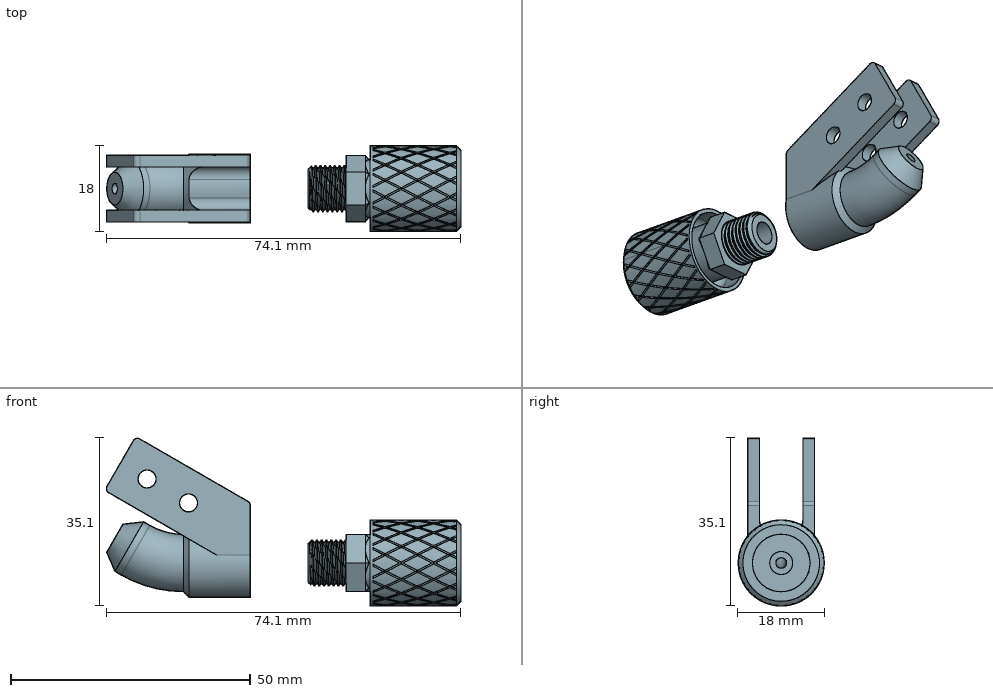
import cadquery as cq
import math


BARREL_R = 7.2
SPOUT_R = 6.0
TIP_R = 3.4
NOZZLE_BORE_R = 1.1
NOZZLE_LENGTH = 14.0
BEND_R = 20.0
BEND_ANGLE = 30.0
TIP_COLLAR = 1.5
TIP_CONE = 3.5

PLATE_GAP = 9.0
PLATE_THICKNESS = 2.5
PLATE_OUTER_Y = PLATE_GAP / 2 + PLATE_THICKNESS
PLATE_TILT = 30.0
PLATE_WIDTH = 13.0
PLATE_CORNER_R = 1.0
PLATE_END_X = -30.1
PLATE_TOP_Z = 26.06
PLATE_HOLE_R = 1.85
PLATE_HOLE_PITCH = 10.0
PLATE_HOLE_INSET = 6.5
ROOT_FILLET_R = 2.0

FITTING_X = 12.0
THREAD_LENGTH = 8.0
THREAD_PITCH = 1.0
THREAD_CREST_R = 4.85
THREAD_ROOT_R = 4.37
THREAD_LEAD_R = 4.0
THREAD_BASE_WIDTH = 0.7
THREAD_CREST_WIDTH = 0.12
THREAD_START = 0.62
FLANK_STEPS = 3
HEX_FLATS = 12.0
HEX_LENGTH = 5.0
HEX_CHAMFER = 1.0
SHANK_R = 6.0
FITTING_BORE_R = 2.4

SLEEVE_R = 9.0
SLEEVE_LENGTH = 19.0
SLEEVE_BORE_R = 12.03 / 2
SLEEVE_MOUTH_R = 8.15
SLEEVE_MOUTH_DEPTH = 6.0
SLEEVE_CHAMFER = 1.0
SLEEVE_X = FITTING_X + THREAD_LENGTH + HEX_LENGTH
KNURL_COUNT = 16
KNURL_LEAD = 108.5
KNURL_GROOVE_R = 0.2
KNURL_START = 0.6
KNURL_LENGTH = SLEEVE_LENGTH - SLEEVE_CHAMFER - KNURL_START
KNURL_CROSSING = 6.5

FITTING_LENGTH = THREAD_LENGTH + HEX_LENGTH + SLEEVE_LENGTH


def revolved(points):
    """Solid of revolution about the X axis from (x, radius) points."""
    return cq.Workplane("XY").polyline(points).close().revolve(360, (0, 0, 0), (1, 0, 0))


def cylinder(radius, x, length):
    return cq.Workplane("YZ", origin=(x, 0, 0)).circle(radius).extrude(length)



def bend_direction():
    angle = math.radians(BEND_ANGLE)
    return cq.Vector(-math.cos(angle), 0, math.sin(angle))


def bend_end():
    angle = math.radians(BEND_ANGLE)
    return cq.Vector(-NOZZLE_LENGTH - BEND_R * math.sin(angle), 0, BEND_R * (1 - math.cos(angle)))


def spout_bend(radius):
    return (
        cq.Workplane("YZ", origin=(-NOZZLE_LENGTH, 0, 0))
        .circle(radius)
        .revolve(BEND_ANGLE, (-1, BEND_R, 0), (1, BEND_R, 0))
    )


def spout_tip():
    collar = cq.Solid.makeCylinder(SPOUT_R, TIP_COLLAR, bend_end(), bend_direction())
    cone_base = bend_end() + bend_direction() * TIP_COLLAR
    cone = cq.Solid.makeCone(SPOUT_R, TIP_R, TIP_CONE, cone_base, bend_direction())
    return cq.Workplane(collar).union(cq.Workplane(cone))


def barrel():
    """Barrel with concave fillets rising to the plates' inner faces, its front end cut to a cone."""
    face_y = PLATE_GAP / 2
    flank_z = math.sqrt(BARREL_R**2 - face_y**2)
    centre_y = face_y - ROOT_FILLET_R
    centre_z = math.sqrt((BARREL_R + ROOT_FILLET_R) ** 2 - centre_y**2)
    touch_angle = math.atan2(centre_z, centre_y)
    touch_y = BARREL_R * math.cos(touch_angle)
    touch_z = BARREL_R * math.sin(touch_angle)
    middle_angle = (touch_angle - math.pi) / 2
    middle_y = centre_y + ROOT_FILLET_R * math.cos(middle_angle)
    middle_z = centre_z + ROOT_FILLET_R * math.sin(middle_angle)
    section = (
        cq.Workplane("YZ", origin=(-NOZZLE_LENGTH, 0, 0))
        .moveTo(face_y, flank_z)
        .lineTo(face_y, centre_z)
        .threePointArc((middle_y, middle_z), (touch_y, touch_z))
        .threePointArc((0, BARREL_R), (-touch_y, touch_z))
        .threePointArc((-middle_y, middle_z), (-face_y, centre_z))
        .lineTo(-face_y, flank_z)
        .threePointArc((0, -BARREL_R), (face_y, flank_z))
        .close()
    )
    cone_r = SPOUT_R + NOZZLE_LENGTH
    cone = revolved([(0, 0), (0, cone_r), (-NOZZLE_LENGTH, SPOUT_R), (-NOZZLE_LENGTH, 0)])
    return section.extrude(NOZZLE_LENGTH).intersect(cone)


def plate_frame():
    """Sharp upper front corner of the plates, with unit vectors along and up across them."""
    tilt = math.radians(PLATE_TILT)
    core = PLATE_WIDTH - 2 * PLATE_CORNER_R
    along = cq.Vector(math.cos(tilt), 0, -math.sin(tilt))
    up = cq.Vector(math.sin(tilt), 0, math.cos(tilt))
    lower_x = PLATE_END_X + PLATE_CORNER_R
    upper_centre = cq.Vector(lower_x + core * math.sin(tilt), 0, PLATE_TOP_Z - PLATE_CORNER_R)
    corner = upper_centre + (up - along) * PLATE_CORNER_R
    return corner, along, up


def plates():
    corner, along, up = plate_frame()
    low = corner - up * PLATE_WIDTH
    top_rear_z = corner.z + corner.x * math.tan(math.radians(PLATE_TILT))
    foot_z = math.sqrt(BARREL_R**2 - PLATE_OUTER_Y**2)
    foot_x = low.x + (low.z - foot_z) / math.tan(math.radians(PLATE_TILT))
    outline = [(low.x, low.z), (corner.x, corner.z), (0, top_rear_z), (0, foot_z), (foot_x, foot_z)]
    first_hole = corner + along * PLATE_HOLE_INSET - up * PLATE_HOLE_INSET
    second_hole = first_hole + along * PLATE_HOLE_PITCH
    both = (
        cq.Workplane("XZ", origin=(0, PLATE_OUTER_Y, 0))
        .polyline(outline)
        .close()
        .extrude(2 * PLATE_OUTER_Y)
    )
    sharp = [(low.x, low.z), (corner.x, corner.z), (0, top_rear_z)]
    for x, z in sharp:
        both = both.edges(cq.selectors.NearestToPointSelector((x, 0, z))).fillet(PLATE_CORNER_R)
    holes = (
        cq.Workplane("XZ", origin=(0, PLATE_OUTER_Y, 0))
        .pushPoints([(first_hole.x, first_hole.z), (second_hole.x, second_hole.z)])
        .circle(PLATE_HOLE_R)
        .extrude(2 * PLATE_OUTER_Y)
    )
    gap = cq.Workplane("XY").box(4 * NOZZLE_LENGTH, PLATE_GAP, 4 * NOZZLE_LENGTH)
    gap = gap.translate((-2 * NOZZLE_LENGTH, 0, 0))
    return both.cut(holes).cut(gap)


def nozzle_bore():
    tip_length = TIP_COLLAR + TIP_CONE
    tip_bore = cq.Solid.makeCylinder(NOZZLE_BORE_R, tip_length, bend_end(), bend_direction())
    straight = cylinder(NOZZLE_BORE_R, -NOZZLE_LENGTH, NOZZLE_LENGTH)
    return straight.union(spout_bend(NOZZLE_BORE_R)).union(cq.Workplane(tip_bore))


def make_nozzle():
    body = barrel().union(spout_bend(SPOUT_R)).union(spout_tip())
    return body.union(plates()).cut(nozzle_bore())



def thread_point(turn, radius):
    angle = 2 * math.pi * turn
    return radius * math.cos(angle), radius * math.sin(angle)


def thread():
    """Single-start right-hand thread: a cam-shaped cross section twisted along X.

    One full turn of the section stands for one pitch of the ridge, so the ridge's
    crest, flanks and root appear as arcs and spirals, given here in turns.
    """
    crest_end = THREAD_CREST_WIDTH / THREAD_PITCH / 2
    root_end = THREAD_BASE_WIDTH / THREAD_PITCH / 2
    falling = []
    for step in range(1, FLANK_STEPS + 1):
        share = step / FLANK_STEPS
        turn = crest_end + (root_end - crest_end) * share
        radius = THREAD_CREST_R + (THREAD_ROOT_R - THREAD_CREST_R) * share
        falling.append((turn, radius))
    falling_flank = [thread_point(turn, radius) for turn, radius in falling]
    rising_flank = [thread_point(-turn, radius) for turn, radius in reversed(falling[:-1])]
    crest_start = thread_point(-crest_end, THREAD_CREST_R)
    rising_flank.append(crest_start)
    section = (
        cq.Workplane("YZ", origin=(FITTING_X, 0, 0))
        .moveTo(*crest_start)
        .threePointArc(thread_point(0, THREAD_CREST_R), thread_point(crest_end, THREAD_CREST_R))
        .spline(falling_flank, includeCurrent=True)
        .threePointArc(thread_point(0.5, THREAD_ROOT_R), thread_point(-root_end, THREAD_ROOT_R))
        .spline(rising_flank, includeCurrent=True)
        .close()
    )
    ridge = section.twistExtrude(THREAD_LENGTH, 360 * THREAD_LENGTH / THREAD_PITCH)
    ridge = ridge.rotate((0, 0, 0), (1, 0, 0), -360 * THREAD_START / THREAD_PITCH)
    return ridge.cut(thread_lead())


def thread_lead():
    """Ring whose 45 degree inner cone chamfers the start of the thread."""
    depth = HEX_FLATS / 2 - THREAD_LEAD_R
    return revolved(
        [
            (FITTING_X, THREAD_LEAD_R),
            (FITTING_X + depth, THREAD_LEAD_R + depth),
            (FITTING_X, THREAD_LEAD_R + depth),
        ]
    )


def hexagon():
    across_corners = HEX_FLATS / math.cos(math.radians(30))
    return (
        cq.Workplane("YZ", origin=(FITTING_X + THREAD_LENGTH, 0, 0))
        .polygon(6, across_corners)
        .extrude(HEX_LENGTH)
        .faces(">X")
        .chamfer(HEX_CHAMFER)
    )


def make_fitting():
    shank_x = FITTING_X + THREAD_LENGTH
    shank = cylinder(SHANK_R, shank_x, HEX_LENGTH + SLEEVE_LENGTH)
    bore = cylinder(FITTING_BORE_R, FITTING_X, FITTING_LENGTH)
    return thread().union(hexagon().union(shank)).cut(bore)



def sleeve_blank():
    """Turned sleeve whose mouth is a pocket rounded into the bore by a concave quarter circle."""
    round_r = SLEEVE_MOUTH_R - SLEEVE_BORE_R
    middle = round_r * math.sqrt(0.5)
    round_x = SLEEVE_X + SLEEVE_MOUTH_DEPTH - round_r
    end = SLEEVE_X + SLEEVE_LENGTH
    return (
        cq.Workplane("XY")
        .moveTo(SLEEVE_X, SLEEVE_MOUTH_R)
        .lineTo(SLEEVE_X, SLEEVE_R)
        .lineTo(end - SLEEVE_CHAMFER, SLEEVE_R)
        .lineTo(end, SLEEVE_R - SLEEVE_CHAMFER)
        .lineTo(end, SLEEVE_BORE_R)
        .lineTo(round_x + round_r, SLEEVE_BORE_R)
        .threePointArc((round_x + middle, SLEEVE_BORE_R + middle), (round_x, SLEEVE_MOUTH_R))
        .close()
        .revolve(360, (0, 0, 0), (1, 0, 0))
    )


def knurl_groove(hand):
    """One helical groove, twisting right for hand = 1 and left for hand = -1."""
    turn = 360 * KNURL_LENGTH / KNURL_LEAD
    start_angle = 180 - hand * 360 * (KNURL_CROSSING - KNURL_START) / KNURL_LEAD
    return (
        cq.Workplane("YZ", origin=(SLEEVE_X + KNURL_START, 0, 0))
        .moveTo(SLEEVE_R, 0)
        .circle(KNURL_GROOVE_R)
        .twistExtrude(KNURL_LENGTH, hand * turn)
        .rotate((0, 0, 0), (1, 0, 0), start_angle)
    )


def make_sleeve():
    sleeve = sleeve_blank().val()
    for hand in (1, -1):
        groove = knurl_groove(hand)
        turns = [groove.rotate((0, 0, 0), (1, 0, 0), i * 360 / KNURL_COUNT) for i in range(KNURL_COUNT)]
        sleeve = sleeve.cut(cq.Compound.makeCompound([turned.val() for turned in turns]))
    return cq.Workplane(sleeve)


nozzle = make_nozzle()
fitting = make_fitting()
sleeve = make_sleeve()

result = cq.Compound.makeCompound([nozzle.val(), fitting.val(), sleeve.val()])